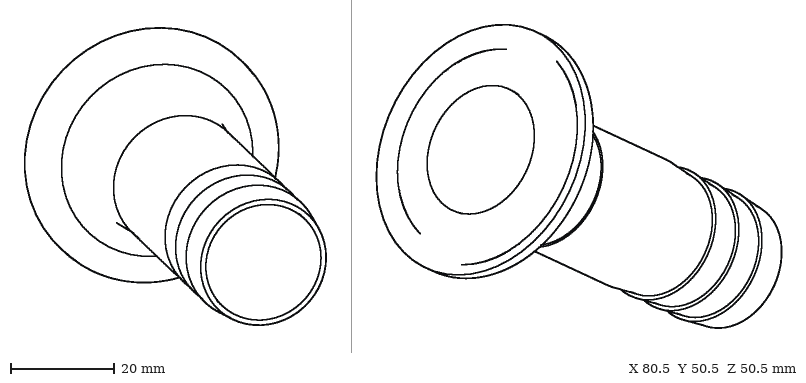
import cadquery as cq
import math

total_length = 80.5

flange_radius = 50.5 / 2
rim_width = 2.9
rim_fillet = 0.8
flange_back = 5.1
flange_cone_angle = 20.0

groove_mid_radius = 21.7
groove_half_width = 1.9
groove_depth = 1.6
groove_lip_round = 0.65

neck_base_radius = 14.5
neck_end_radius = 13.05
neck_end = 21.5
neck_fillet = 1.9
tube_radius = 26.9 / 2

barb_count = 4
barb_pitch = 7.5
barb_low_radius = 12.6
barb_start = total_length - barb_count * barb_pitch

bore_radius = 23.2 / 2
bore_mouth_radius = 13.0

selection_margin = 0.1


def revolve_about_x(profile):
    return profile.close().revolve(360, (0, 0, 0), (1, 0, 0))


def circle_at(x, radius):
    reach = radius + selection_margin
    return cq.selectors.BoxSelector(
        (x - selection_margin, -reach, -reach),
        (x + selection_margin, reach, reach),
        boundingbox=True,
    )


def make_flange():
    cone_drop = (flange_back - rim_width) / math.tan(math.radians(flange_cone_angle))
    flange = revolve_about_x(
        cq.Workplane("XY")
        .lineTo(0, flange_radius)
        .lineTo(rim_width, flange_radius)
        .lineTo(flange_back, flange_radius - cone_drop)
        .lineTo(flange_back, 0)
    )
    return flange.edges(circle_at(rim_width, flange_radius)).fillet(rim_fillet)


def make_stem():
    profile = (
        cq.Workplane("XY")
        .lineTo(0, neck_base_radius)
        .lineTo(flange_back, neck_base_radius)
        .lineTo(neck_end, neck_end_radius)
        .lineTo(neck_end, tube_radius)
    )
    for barb in range(barb_count):
        crest = barb_start + barb * barb_pitch
        profile = profile.lineTo(crest, tube_radius).lineTo(crest + barb_pitch, barb_low_radius)
    return revolve_about_x(profile.lineTo(total_length, 0))


def make_bore():
    return revolve_about_x(
        cq.Workplane("XY")
        .lineTo(0, bore_mouth_radius)
        .lineTo(neck_end, bore_radius)
        .lineTo(total_length, bore_radius)
        .lineTo(total_length, 0)
    )


def make_groove():
    wall_angle = 2 * math.atan(groove_depth / groove_half_width)

    def lip_point(side, angle):
        inset = groove_half_width - groove_lip_round * math.sin(angle)
        return groove_lip_round * (1 - math.cos(angle)), groove_mid_radius + side * inset

    return revolve_about_x(
        cq.Workplane("XY")
        .moveTo(*lip_point(-1, 0))
        .threePointArc(lip_point(-1, wall_angle / 2), lip_point(-1, wall_angle))
        .threePointArc((groove_depth, groove_mid_radius), lip_point(1, wall_angle))
        .threePointArc(lip_point(1, wall_angle / 2), lip_point(1, 0))
    )


body = make_flange().union(make_stem())
body = body.edges(circle_at(flange_back, neck_base_radius)).fillet(neck_fillet)
result = body.cut(make_bore()).cut(make_groove())